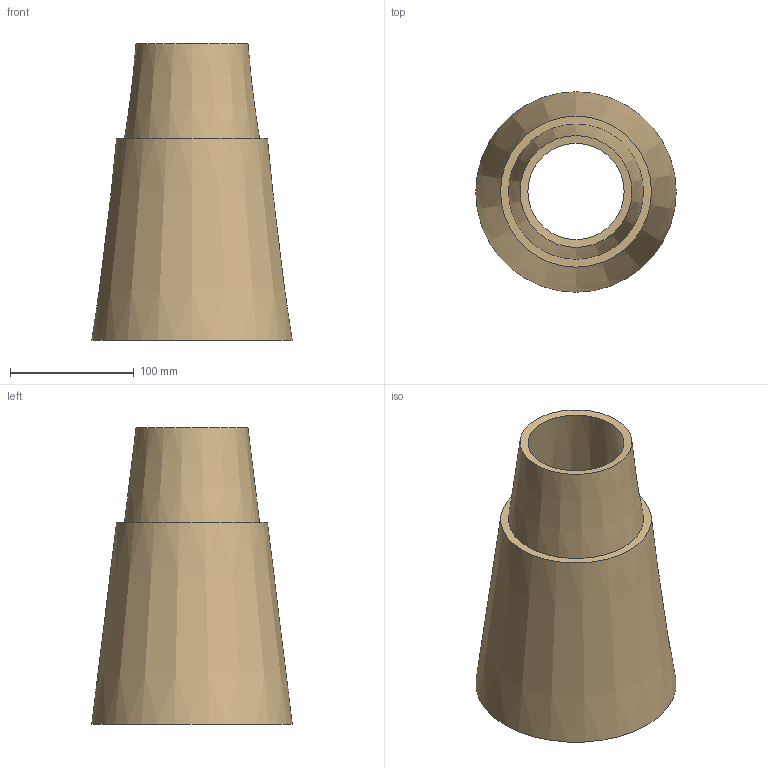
import cadquery as cq
import math

total_height = 239.54
base_diameter = 161.93
shoulder_height = 163.0
shoulder_diameter = 121.9
layer_thickness = 6.35

base_radius = base_diameter / 2
shoulder_radius = shoulder_diameter / 2
taper_angle = math.atan((base_radius - shoulder_radius) / shoulder_height)
layer_width = layer_thickness / math.cos(taper_angle)


def wall_radius(layers_in, height):
    """Radius at a height of the conical surface lying a number of layers inside the outer sleeve."""
    return base_radius - layers_in * layer_width - height * math.tan(taper_angle)


rim_inner_height = total_height - layer_thickness * math.sin(taper_angle)

wall_section = [
    (wall_radius(0, 0), 0),
    (wall_radius(0, shoulder_height), shoulder_height),
    (wall_radius(1, shoulder_height), shoulder_height),
    (wall_radius(1, total_height), total_height),
    (wall_radius(2, rim_inner_height), rim_inner_height),
    (wall_radius(2, 0), 0),
]

result = cq.Workplane("YZ").polyline(wall_section).close().revolve(360, (0, 0), (0, 1))